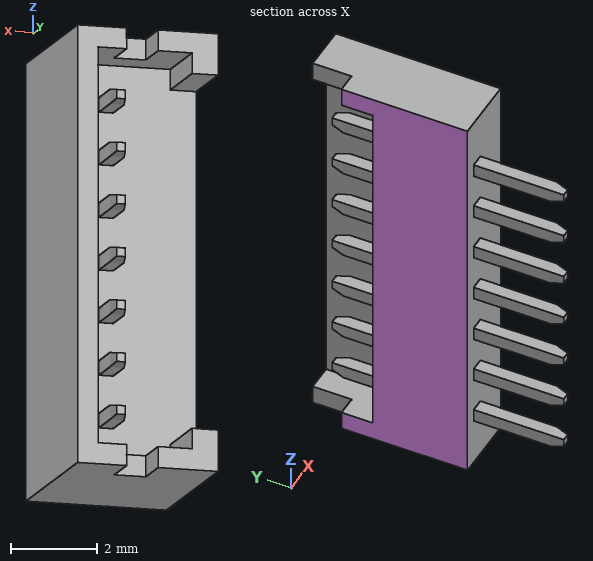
import cadquery as cq

width = 3.4
depth = 4.3
height = 10.4

side_wall = 0.63
thin_wall = 0.5
socket_depth = 1.82

window_end = 0.99

slot_start = 1.46
slot_width = 0.76
slot_depth = 1.02

pin_count = 7
pin_row_length = 7.5
pin_x = 2.18
pin_side = 0.34
pin_tip_side = 0.21
pin_tip_length = 0.32
pin_tail = 2.31
pin_recess = 0.58
pin_pitch = pin_row_length / (pin_count - 1)


def box(x_start, x_size, y_start, y_size, z_size):
    """Box centred on Z = 0, placed by its lower X and Y faces."""
    return (
        cq.Workplane("XY")
        .box(x_size, y_size, z_size, centered=(False, False, True))
        .translate((x_start, y_start, 0))
    )


def make_housing():
    """Block with the socket, the side window and the two end slots cut out."""
    socket_floor = depth - socket_depth
    socket_width = width - side_wall - thin_wall
    socket = box(side_wall, socket_width, socket_floor, socket_depth, height - 2 * thin_wall)
    window = box(0, side_wall, socket_floor, socket_depth, height - 2 * window_end)
    end_slots = box(slot_start, slot_width, depth - slot_depth, slot_depth, height)
    return box(0, width, 0, depth, height).cut(socket).cut(window).cut(end_slots)


def make_pin():
    """Square pin along Y at Z = 0, tapered at both ends."""
    shank_start = pin_tip_length - pin_tail
    shank_end = depth - pin_recess - pin_tip_length
    pin = box(pin_x - pin_side / 2, pin_side, shank_start, shank_end - shank_start, pin_side)
    for y_base, direction in ((shank_start, -1), (shank_end, 1)):
        base_plane = cq.Plane(origin=(pin_x, y_base, 0), xDir=(1, 0, 0), normal=(0, direction, 0))
        tip = (
            cq.Workplane(base_plane)
            .rect(pin_side, pin_side)
            .workplane(offset=pin_tip_length)
            .rect(pin_tip_side, pin_tip_side)
            .loft()
        )
        pin = pin.union(tip)
    return pin


result = make_housing()
pin = make_pin()
for index in range(pin_count):
    pin_z = index * pin_pitch - pin_row_length / 2
    result = result.union(pin.translate((0, 0, pin_z)))